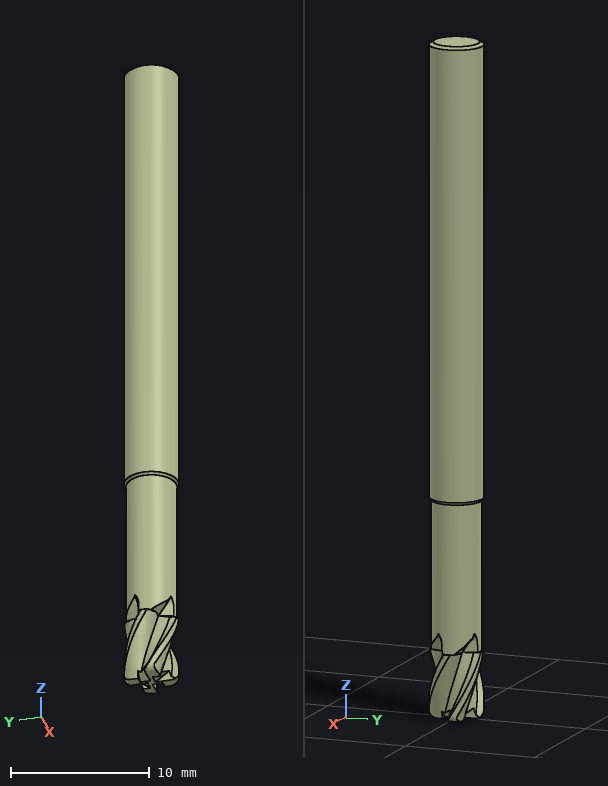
import cadquery as cq
import math

TOTAL_LENGTH = 50.0
HEAD_LENGTH = 5.0
NECK_TOP = 16.1
STEP_TOP = 16.3

TOOL_RADIUS = 2.0
NECK_RADIUS = 1.85
END_CHAMFER_WIDTH = 0.3
END_CHAMFER_HEIGHT = 0.2

TOOTH_COUNT = 4
TOOTH_PITCH = 360.0 / TOOTH_COUNT
HELIX_ANGLE = 30.0
HEAD_TWIST = math.degrees(HEAD_LENGTH * math.tan(math.radians(HELIX_ANGLE)) / TOOL_RADIUS)
CORNER_RADIUS = 0.5

CREST_RADIUS = 2.15
BACK_RADIUS = 1.75
CORE_RADIUS = 1.05
RAKE_ROOT_RADIUS = 1.5
TIP_ANGLE = -7.0
CREST_RAKE_ANGLE = -6.0
CREST_BACK_ANGLE = -3.0
BACK_ANGLE = 20.0
VALLEY_ANGLE = 45.0
RAKE_ROOT_ANGLE = 78.0

RUNOUT_SHOULDER_HEIGHT = 0.9
RUNOUT_HEIGHT = 1.45
RUNOUT_OUTER_RADIUS = TOOL_RADIUS + 0.5
RUNOUT_WALL_ANGLE = 86.0
RUNOUT_START_ANGLE = 8.0
RUNOUT_SHOULDER_RADIUS = 1.45
RUNOUT_SHOULDER_VALLEY_ANGLE = 64.0
RUNOUT_SHOULDER_START_ANGLE = 42.0
RUNOUT_END_ANGLE = 66.0

GASH_WIDTH = 0.75
GASH_DEPTH = 0.9
GASH_INNER_RADIUS = 0.3
GASH_OUTER_RADIUS = TOOL_RADIUS + 0.5
GASH_FULL_DEPTH_RADIUS = 1.5

PROFILE_PLANE = cq.Plane(origin=(0, 0, 0), xDir=(0, -1, 0), normal=(-1, 0, 0))


def polar(radius, angle):
    """Point at a radius and an angle counted counterclockwise from the -Y axis."""
    turn = math.radians(angle)
    return (radius * math.sin(turn), -radius * math.cos(turn))


def make_shank():
    """Round shank with a chamfered end and a thinner neck, before the flutes run out."""
    return (
        cq.Workplane(PROFILE_PLANE)
        .moveTo(0, HEAD_LENGTH)
        .lineTo(NECK_RADIUS, HEAD_LENGTH)
        .lineTo(NECK_RADIUS, NECK_TOP)
        .lineTo(TOOL_RADIUS, STEP_TOP)
        .lineTo(TOOL_RADIUS, TOTAL_LENGTH - END_CHAMFER_HEIGHT)
        .lineTo(TOOL_RADIUS - END_CHAMFER_WIDTH, TOTAL_LENGTH)
        .lineTo(0, TOTAL_LENGTH)
        .close()
        .revolve(360, (0, 0), (0, 1))
    )


def runout_section(valley_radius, valley_angle, start_angle):
    """V-shaped section of the run-out, open beyond the neck surface."""
    return [
        polar(valley_radius, valley_angle),
        polar(RUNOUT_OUTER_RADIUS, RUNOUT_WALL_ANGLE),
        polar(RUNOUT_OUTER_RADIUS, start_angle),
    ]


def make_runout():
    """Wedge that continues one flute up into the neck and tapers out at its surface."""
    bottom = runout_section(CORE_RADIUS, VALLEY_ANGLE, RUNOUT_START_ANGLE)
    shoulder = runout_section(
        RUNOUT_SHOULDER_RADIUS, RUNOUT_SHOULDER_VALLEY_ANGLE, RUNOUT_SHOULDER_START_ANGLE
    )
    end = runout_section(NECK_RADIUS, RUNOUT_END_ANGLE, RUNOUT_END_ANGLE)
    return (
        cq.Workplane("XY", origin=(0, 0, HEAD_LENGTH))
        .polyline(bottom)
        .close()
        .workplane(offset=RUNOUT_SHOULDER_HEIGHT)
        .polyline(shoulder)
        .close()
        .workplane(offset=RUNOUT_HEIGHT - RUNOUT_SHOULDER_HEIGHT)
        .polyline(end)
        .close()
        .loft(ruled=True)
    )


def head_section(turn):
    """Cross-section of the head before its crests are ground: curved backs, flat floors and rake faces."""
    section = cq.Workplane("XY").moveTo(*polar(CREST_RADIUS, CREST_RAKE_ANGLE + turn))
    for tooth in range(TOOTH_COUNT):
        base = turn + tooth * TOOTH_PITCH
        section = (
            section
            .lineTo(*polar(CREST_RADIUS, base + CREST_BACK_ANGLE))
            .threePointArc(
                polar(BACK_RADIUS, base + BACK_ANGLE), polar(CORE_RADIUS, base + VALLEY_ANGLE)
            )
            .lineTo(*polar(RAKE_ROOT_RADIUS, base + RAKE_ROOT_ANGLE))
        )
        if tooth < TOOTH_COUNT - 1:
            section = section.lineTo(*polar(CREST_RADIUS, base + CREST_RAKE_ANGLE + TOOTH_PITCH))
    return section.close()


def make_head_envelope():
    """Cylinder with a rounded corner that grinds the crests to narrow margins."""
    return (
        cq.Workplane("XY")
        .circle(TOOL_RADIUS)
        .extrude(HEAD_LENGTH)
        .faces("<Z")
        .edges()
        .fillet(CORNER_RADIUS)
    )


def make_gash():
    """Slot under the end, deeper outward, whose wall lies on the radius of one cutting edge."""
    return (
        cq.Workplane(PROFILE_PLANE)
        .moveTo(GASH_INNER_RADIUS, 0)
        .lineTo(GASH_FULL_DEPTH_RADIUS, GASH_DEPTH)
        .lineTo(GASH_OUTER_RADIUS, GASH_DEPTH)
        .lineTo(GASH_OUTER_RADIUS, -GASH_DEPTH)
        .lineTo(GASH_INNER_RADIUS, -GASH_DEPTH)
        .close()
        .extrude(GASH_WIDTH)
        .rotate((0, 0, 0), (0, 0, 1), TIP_ANGLE - HEAD_TWIST)
    )


def make_head():
    """Twisted head with rounded corners and an end gash at each tooth."""
    blank = head_section(-HEAD_TWIST).twistExtrude(HEAD_LENGTH, HEAD_TWIST)
    head = blank.intersect(make_head_envelope())
    for tooth in range(TOOTH_COUNT):
        head = head.cut(make_gash().rotate((0, 0, 0), (0, 0, 1), tooth * TOOTH_PITCH))
    return head


shank = make_shank()
for flute in range(TOOTH_COUNT):
    shank = shank.cut(make_runout().rotate((0, 0, 0), (0, 0, 1), flute * TOOTH_PITCH))

head = make_head()

result = cq.Compound.makeCompound([shank.val(), head.val()])